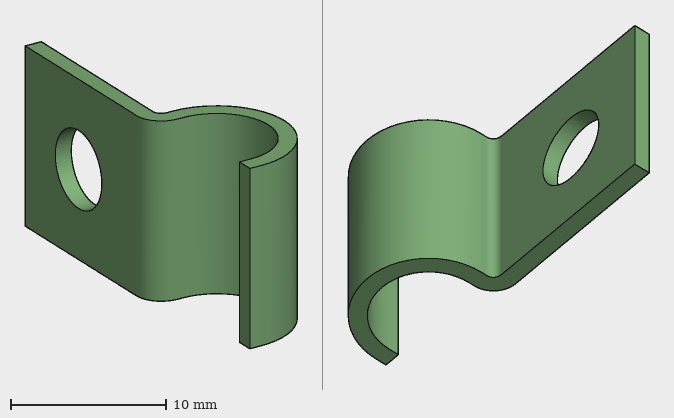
import cadquery as cq
import math

overall_length = 24.23
overall_depth = 7.55
strip_width = 12.7
thickness = 1.24
saddle_outer_radius = 5.19
bend_inner_radius = 0.65
free_leg_length = 0.82
hole_diameter = 5.5
hole_x = 6.32

saddle_inner_radius = saddle_outer_radius - thickness
bend_outer_radius = bend_inner_radius + thickness
saddle_x = overall_length - saddle_outer_radius
saddle_y = overall_depth - saddle_outer_radius
saddle_left_x = saddle_x - saddle_outer_radius
bend_x = saddle_left_x - bend_inner_radius
bend_y = bend_outer_radius
free_end_y = saddle_y - free_leg_length


def bend_midpoint(radius):
    """Point halfway along the quarter bend at the given radius."""
    offset = radius * math.sin(math.pi / 4)
    return (bend_x + offset, bend_y - offset)


def make_strip():
    """Bent strip: flat tab, quarter bend, half-round saddle and short free leg."""
    return (
        cq.Workplane("XY")
        .moveTo(0, 0)
        .lineTo(bend_x, 0)
        .threePointArc(bend_midpoint(bend_outer_radius), (bend_x + bend_outer_radius, bend_y))
        .lineTo(saddle_x - saddle_inner_radius, saddle_y)
        .threePointArc(
            (saddle_x, saddle_y + saddle_inner_radius),
            (saddle_x + saddle_inner_radius, saddle_y),
        )
        .lineTo(saddle_x + saddle_inner_radius, free_end_y)
        .lineTo(overall_length, free_end_y)
        .lineTo(overall_length, saddle_y)
        .threePointArc((saddle_x, overall_depth), (saddle_left_x, saddle_y))
        .lineTo(saddle_left_x, bend_y)
        .threePointArc(bend_midpoint(bend_inner_radius), (bend_x, thickness))
        .lineTo(0, thickness)
        .close()
        .extrude(strip_width)
    )


def make_screw_hole():
    """Cylinder that passes through the flat tab along Y."""
    return (
        cq.Workplane("XZ")
        .center(hole_x, strip_width / 2)
        .circle(hole_diameter / 2)
        .extrude(-thickness)
    )


result = make_strip().cut(make_screw_hole())